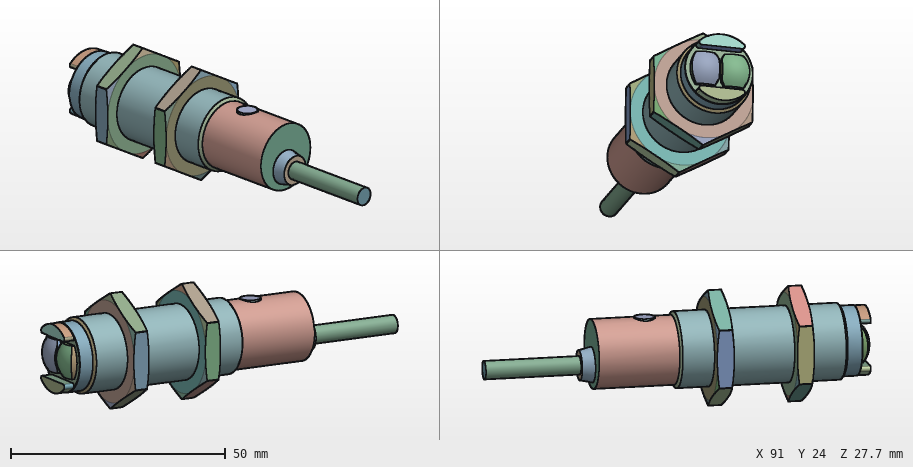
import cadquery as cq
import math

overall_length = 91.0

barrel_diameter = 18.0
head_diameter = 16.6
tail_diameter = 16.4
head_face_x = 2.55
head_edge_chamfer = 0.1
barrel_start_x = 6.1
barrel_end_x = 46.1
barrel_bevel_length = 0.55
tail_end_x = 65.3

lug_inner_z = 5.1
lug_corner_radius = 0.6

lens_centre_y = 3.5
lens_side_radius = 7.0
lens_half_height = 4.0
lens_inner_y = 0.4
lens_dome_radius = 6.55

button_x = 52.8
button_diameter = 4.8
button_recess_diameter = 5.0
button_recess_floor_z = 7.3
button_top_z = 8.3

cable_z = -2.55
cable_diameter = 4.4
relief_end_x = 68.3
relief_base_diameter = 8.4
relief_end_diameter = 7.1

nut_start_xs = (14.9, 34.0)
nut_thickness = 4.0
nut_across_flats = 24.0
nut_corner_diameter = 27.7
nut_face_diameter = 24.2
nut_bevel_depth = 0.5


def x_cylinder(diameter, start_x, end_x, centre_z=0.0):
    """A cylinder along X between two positions."""
    return (
        cq.Workplane("YZ", origin=(start_x, 0, centre_z))
        .circle(diameter / 2)
        .extrude(end_x - start_x)
    )


def z_cylinder(diameter, centre_x, bottom_z, top_z):
    """A cylinder along Z between two heights."""
    return (
        cq.Workplane("XY", origin=(centre_x, 0, bottom_z))
        .circle(diameter / 2)
        .extrude(top_z - bottom_z)
    )


def revolve_about_x(profile):
    """A solid of revolution from (x, radius) points."""
    return cq.Workplane("XY").polyline(profile).close().revolve(360, (0, 0, 0), (1, 0, 0))


def make_shell():
    """Head, bevelled barrel and tail."""
    head_radius = head_diameter / 2
    barrel_radius = barrel_diameter / 2
    tail_radius = tail_diameter / 2
    return revolve_about_x([
        (head_face_x, 0),
        (head_face_x, head_radius - head_edge_chamfer),
        (head_face_x + head_edge_chamfer, head_radius),
        (barrel_start_x, head_radius),
        (barrel_start_x + barrel_bevel_length, barrel_radius),
        (barrel_end_x - barrel_bevel_length, barrel_radius),
        (barrel_end_x, tail_radius),
        (tail_end_x, tail_radius),
        (tail_end_x, 0),
    ])


def make_lugs():
    """The two round segments left when a wide gap is cut across a disc."""
    lug_disc_diameter = head_diameter - 2 * head_edge_chamfer
    disc = x_cylinder(lug_disc_diameter, 0, head_face_x)
    gap = cq.Workplane("XY").box(2 * head_face_x, head_diameter, 2 * lug_inner_z)
    return disc.cut(gap).edges("|X").fillet(lug_corner_radius)


def make_lens(side):
    """A dome with two arc-shaped sides, trimmed flat at the top, bottom and inner side."""
    outer_arc = x_cylinder(2 * lens_side_radius, 0, head_face_x)
    inner_arc = outer_arc.translate((0, side * 2 * lens_centre_y, 0))
    trim_width = lens_side_radius - lens_inner_y
    trim_centre_y = side * (lens_inner_y + trim_width / 2)
    trim = (
        cq.Workplane("XY")
        .box(2 * head_face_x, trim_width, 2 * lens_half_height)
        .translate((0, trim_centre_y, 0))
    )
    dome = (
        cq.Workplane("XY")
        .sphere(lens_dome_radius)
        .translate((lens_dome_radius, side * lens_centre_y, 0))
    )
    return outer_arc.intersect(inner_arc).intersect(trim).intersect(dome)


def make_relief():
    """The taper behind the tail."""
    return (
        cq.Workplane("YZ", origin=(tail_end_x, 0, cable_z))
        .circle(relief_base_diameter / 2)
        .workplane(offset=relief_end_x - tail_end_x)
        .circle(relief_end_diameter / 2)
        .loft()
    )


def make_housing():
    solid = make_shell().union(make_lugs()).union(make_relief())
    for side in (-1, 1):
        solid = solid.union(make_lens(side))
    recess = z_cylinder(button_recess_diameter, button_x, button_recess_floor_z, barrel_diameter / 2)
    return solid.cut(recess)


def make_button():
    return z_cylinder(button_diameter, button_x, button_recess_floor_z, button_top_z)


def make_cable():
    return x_cylinder(cable_diameter, relief_end_x, overall_length, cable_z)


def make_nut(start_x):
    """A hexagon with bevelled corners, bored to fit the barrel."""
    end_x = start_x + nut_thickness
    sharp_corner_diameter = nut_across_flats / math.cos(math.radians(30))
    hexagon = (
        cq.Workplane("YZ", origin=(start_x, 0, 0))
        .transformed(rotate=(0, 0, 90))
        .polygon(6, sharp_corner_diameter)
        .extrude(nut_thickness)
    )
    corner_radius = nut_corner_diameter / 2
    face_radius = nut_face_diameter / 2
    bevel_envelope = revolve_about_x([
        (start_x, 0),
        (start_x, face_radius),
        (start_x + nut_bevel_depth, corner_radius),
        (end_x - nut_bevel_depth, corner_radius),
        (end_x, face_radius),
        (end_x, 0),
    ])
    return hexagon.intersect(bevel_envelope).cut(x_cylinder(barrel_diameter, start_x, end_x))


housing = make_housing()
button = make_button()
cable = make_cable()
nuts = [make_nut(start_x) for start_x in nut_start_xs]

result = cq.Compound.makeCompound([
    housing.val(),
    button.val(),
    cable.val(),
    *[nut.val() for nut in nuts],
])